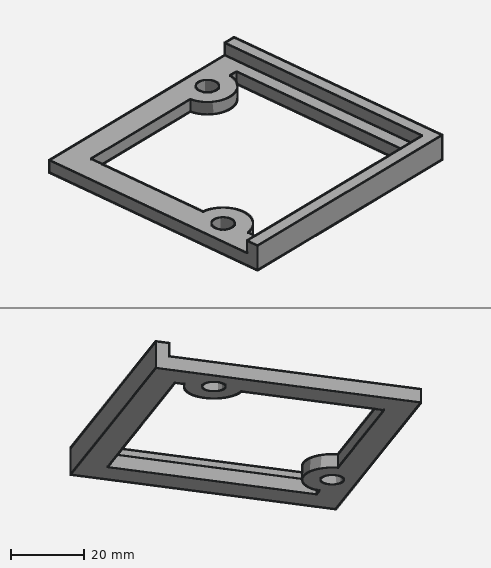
import cadquery as cq

length_x = 76.0
length_y = 76.1
height = 8.0

base_height = 4.0
border = 8.1
lip_width = 3.9

hole_diameter = 6.4
boss_diameter = 16.45
hole_inset = 7.1
hole_distance = 57.2
hole_centers = [(hole_inset, hole_distance), (hole_distance, hole_inset)]


def block(x, y, size_x, size_y, size_z):
    """Box standing on the base plane with its low corner at (x, y)."""
    return cq.Workplane("XY").box(size_x, size_y, size_z, centered=False).translate((x, y, 0))


plate = block(0, 0, length_x, length_y, base_height)
window = block(border, border, length_x - 2 * border, length_y - 2 * border, base_height)
result = plate.cut(window)

result = result.union(block(length_x - lip_width, 0, lip_width, length_y, height))
result = result.union(block(0, length_y - lip_width, length_x, lip_width, height))

bosses = cq.Workplane("XY").pushPoints(hole_centers).circle(boss_diameter / 2).extrude(base_height)
result = result.union(bosses.intersect(plate))

holes = cq.Workplane("XY").pushPoints(hole_centers).circle(hole_diameter / 2).extrude(base_height)
result = result.cut(holes)